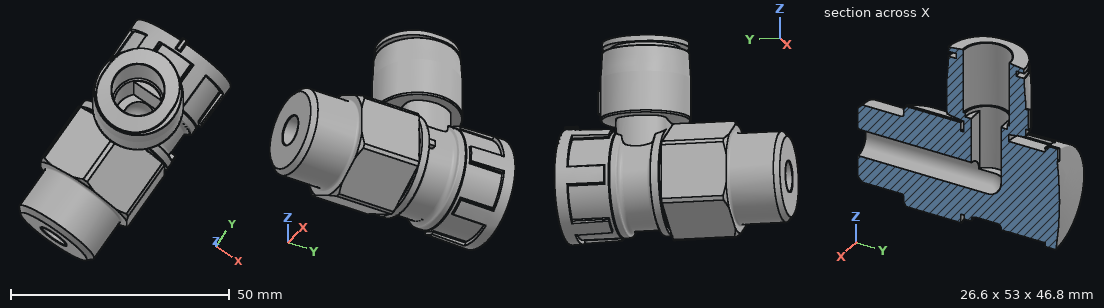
import cadquery as cq
import math


THREAD_END_Y = -33.75
HEX_FRONT_Y = -21.75
HEX_BACK_Y = -6.6
FLANGE_OUTER_Y = 5.9
FLANGE_INNER_Y = 3.9
WAIST_HALF_LENGTH = 2.8
CAP_FRONT_Y = 15.4
CAP_RIM_Y = 18.4
OVERALL_LENGTH = 53.05
CAP_TOP_Y = THREAD_END_Y + OVERALL_LENGTH

THREAD_RADIUS = 20.95 / 2
THREAD_CHAMFER = 1.2
THREAD_ROOT_FILLET = 0.55
NECK_RADIUS = 11.25
FLANGE_RADIUS = 12.3
FLANGE_ROUND = 0.35
FLANGE_CHAMFER_LENGTH = 0.3
FLANGE_CHAMFER_DEPTH = 0.15
WAIST_RADIUS = 10.9
KNOB_RADIUS = 24.5 / 2
CAP_RADIUS = 26.6 / 2
CAP_EDGE_ROUND = 0.5

HEX_FLATS = 24.0
HEX_CORNER_RADIUS = 13.55
HEX_CHAMFER_RADIUS = 12.45
HEX_CHAMFER_LENGTH = 0.7

PAD_COUNT = 6
PAD_WIDTH = 4.05
PAD_FRONT_Y = 6.75
PAD_FRONT_RADIUS = 13.0
PAD_FOOT = 0.25

POINTER_WIDTH = 1.5
CAP_POINTER_FRONT_Y = 16.05
CAP_POINTER_BACK_Y = 18.9
CAP_POINTER_BOTTOM_Z = 10.6
CAP_POINTER_TOP_Z = 14.05
CAP_POINTER_CHAMFER = 0.3
SLEEVE_POINTER_BOTTOM_Z = 16.7
SLEEVE_POINTER_TOP_Z = 22.25
SLEEVE_POINTER_HEIGHT = 0.7

STOP_INNER_X = 9.8
STOP_OUTER_X = 12.2
STOP_FRONT_Y = -4.25
STOP_BACK_Y = -2.45

STEM_RADIUS = 8.2
STEM_THICKNESS = 11.85
STEM_CORNER_FILLET = 3.2

SLEEVE_CONE_Z = 13.9
SLEEVE_EDGE_Z = 14.6
SLEEVE_BOTTOM_Z = 15.0
SLEEVE_TAPER_Z = 24.2
SLEEVE_TOP_Z = 30.35
SLEEVE_RADIUS = 20.8 / 2
SLEEVE_EDGE_RADIUS = 10.2
SLEEVE_TOP_RADIUS = 10.05
SLEEVE_TOP_CHAMFER = 0.1
SLEEVE_CONE_RADIUS = 5.85
COLLAR_NECK_RADIUS = 15.8 / 2
COLLAR_BOTTOM_Z = 31.5
COLLAR_EDGE_Z = 32.8
OVERALL_HEIGHT = 46.8
COLLAR_TOP_Z = OVERALL_HEIGHT - HEX_CORNER_RADIUS
COLLAR_HALF_WIDTH = 8.9
COLLAR_HALF_LENGTH = 10.0
COLLAR_TOP_RADIUS = 6.25

TUBE_BORE_RADIUS = 12.0 / 2
TUBE_BORE_CHAMFER = 0.15
TUBE_STOP_Z = 16.45
STOP_BORE_RADIUS = 11.0 / 2
STOP_BORE_FLOOR_Z = 15.4
SLOT_THICKNESS = 7.8
MAIN_BORE_RADIUS = 7.0 / 2
MAIN_BORE_CHAMFER = 0.15
MAIN_BORE_ROUND_Y = 0.25


def ring_of_y(points):
    """Solid of revolution about Y from (radius, y) points."""
    return cq.Workplane("XY").polyline(points).close().revolve(360, (0, 0, 0), (0, 1, 0))


def ring_of_z(points):
    """Solid of revolution about Z from (radius, z) points."""
    return cq.Workplane("XZ").polyline(points).close().revolve(360, (0, 0, 0), (0, 1, 0))


def box_between(low, high):
    """Box from its two opposite corners."""
    size = [b - a for a, b in zip(low, high)]
    return cq.Workplane("XY").box(*size, centered=False).translate(low)


def make_thread_spigot():
    chamfer_radius = THREAD_RADIUS - THREAD_CHAMFER
    flare_radius = THREAD_RADIUS + THREAD_ROOT_FILLET
    flare_y = HEX_FRONT_Y - THREAD_ROOT_FILLET
    mid_offset = THREAD_ROOT_FILLET * (1 - math.sqrt(0.5))
    return (
        cq.Workplane("XY")
        .moveTo(0, THREAD_END_Y)
        .lineTo(chamfer_radius, THREAD_END_Y)
        .lineTo(THREAD_RADIUS, THREAD_END_Y + THREAD_CHAMFER)
        .lineTo(THREAD_RADIUS, flare_y)
        .threePointArc(
            (THREAD_RADIUS + mid_offset, HEX_FRONT_Y - mid_offset),
            (flare_radius, HEX_FRONT_Y),
        )
        .lineTo(flare_radius, HEX_BACK_Y)
        .lineTo(0, HEX_BACK_Y)
        .close()
        .revolve(360, (0, 0, 0), (0, 1, 0))
    )


def make_hexagon():
    length = HEX_BACK_Y - HEX_FRONT_Y
    corner_flats = 2 * HEX_CORNER_RADIUS
    to_corner = 1 / math.cos(math.pi / 6)
    start = cq.Workplane("XZ", origin=(0, HEX_BACK_Y, 0))
    turned = start.transformed(rotate=(0, 0, 30))
    wrench_faces = turned.polygon(6, HEX_FLATS * to_corner).extrude(length)
    corner_faces = start.polygon(6, corner_flats * to_corner).extrude(length)
    slope = (HEX_CORNER_RADIUS - HEX_CHAMFER_RADIUS) / HEX_CHAMFER_LENGTH
    overshoot = 1.6
    outer_radius = HEX_CORNER_RADIUS + overshoot
    chamfer_cone = ring_of_y([
        (0, HEX_FRONT_Y),
        (HEX_CHAMFER_RADIUS, HEX_FRONT_Y),
        (outer_radius, HEX_FRONT_Y + (outer_radius - HEX_CHAMFER_RADIUS) / slope),
        (outer_radius, HEX_BACK_Y),
        (0, HEX_BACK_Y),
    ])
    return wrench_faces.intersect(corner_faces).intersect(chamfer_cone)


def make_swivel_body():
    """Neck behind the hexagon and the waist between the two swivel flanges."""
    neck = ring_of_y([
        (0, HEX_BACK_Y),
        (NECK_RADIUS, HEX_BACK_Y),
        (NECK_RADIUS, -FLANGE_OUTER_Y),
        (0, -FLANGE_OUTER_Y),
    ])
    blend_radius = FLANGE_INNER_Y - WAIST_HALF_LENGTH
    blend_offset = blend_radius * (1 - math.sqrt(0.5))
    round_offset = FLANGE_ROUND * (1 - math.sqrt(0.5))
    half = (
        cq.Workplane("XY")
        .moveTo(0, 0)
        .lineTo(WAIST_RADIUS, 0)
        .lineTo(WAIST_RADIUS, WAIST_HALF_LENGTH)
        .threePointArc(
            (WAIST_RADIUS + blend_offset, FLANGE_INNER_Y - blend_offset),
            (WAIST_RADIUS + blend_radius, FLANGE_INNER_Y),
        )
        .threePointArc(
            (FLANGE_RADIUS - round_offset, FLANGE_INNER_Y + round_offset),
            (FLANGE_RADIUS, FLANGE_INNER_Y + FLANGE_ROUND),
        )
        .lineTo(FLANGE_RADIUS, FLANGE_OUTER_Y)
        .lineTo(0, FLANGE_OUTER_Y)
        .close()
        .revolve(360, (0, 0, 0), (0, 1, 0))
    )
    chamfer_start_y = FLANGE_OUTER_Y - FLANGE_CHAMFER_LENGTH
    chamfered_envelope = ring_of_y([
        (0, 0),
        (FLANGE_RADIUS, 0),
        (FLANGE_RADIUS, chamfer_start_y),
        (FLANGE_RADIUS - FLANGE_CHAMFER_DEPTH, FLANGE_OUTER_Y),
        (0, FLANGE_OUTER_Y),
    ])
    knob_side = half.intersect(chamfered_envelope)
    waist = knob_side.union(half.mirror("XZ"))
    return waist.union(neck)


def make_knob():
    """Round knob, its grip pads and its domed cap; pads and cap lie inside one shallow cone."""
    knob = ring_of_y([
        (0, FLANGE_OUTER_Y),
        (KNOB_RADIUS, FLANGE_OUTER_Y),
        (KNOB_RADIUS, CAP_FRONT_Y),
        (0, CAP_FRONT_Y),
    ])
    cap_length = CAP_TOP_Y - CAP_FRONT_Y
    cap_blank = cq.Workplane("XZ", origin=(0, CAP_TOP_Y, 0)).circle(CAP_RADIUS).extrude(cap_length)
    rim_start_y = CAP_RIM_Y - CAP_EDGE_ROUND
    dome_edge_radius = CAP_RADIUS - CAP_EDGE_ROUND
    round_offset = CAP_EDGE_ROUND * (1 - math.sqrt(0.5))
    dome_rise = CAP_TOP_Y - CAP_RIM_Y
    dome_radius = (dome_edge_radius**2 + dome_rise**2) / (2 * dome_rise)
    dome_mid_angle = math.asin(dome_edge_radius / dome_radius) / 2
    dome_mid_drop = dome_radius * (1 - math.cos(dome_mid_angle))
    envelope = (
        cq.Workplane("XY")
        .moveTo(0, PAD_FRONT_Y)
        .lineTo(PAD_FRONT_RADIUS, PAD_FRONT_Y)
        .lineTo(CAP_RADIUS, rim_start_y)
        .threePointArc(
            (CAP_RADIUS - round_offset, CAP_RIM_Y - round_offset),
            (dome_edge_radius, CAP_RIM_Y),
        )
        .threePointArc(
            (dome_radius * math.sin(dome_mid_angle), CAP_TOP_Y - dome_mid_drop),
            (0, CAP_TOP_Y),
        )
        .close()
        .revolve(360, (0, 0, 0), (0, 1, 0))
    )
    return cap_blank.union(make_pad_bars()).intersect(envelope).union(knob)


def make_pad_bars():
    """Radial bars, flared at the knob surface, that become the grip pads once trimmed to the cone."""
    half_width = PAD_WIDTH / 2
    foot_half_width = half_width + PAD_FOOT
    foot_radius = math.sqrt(KNOB_RADIUS**2 - foot_half_width**2)
    bar = (
        cq.Workplane("XZ", origin=(0, CAP_FRONT_Y, 0))
        .polyline([
            (0, -foot_half_width),
            (foot_radius, -foot_half_width),
            (foot_radius + PAD_FOOT, -half_width),
            (CAP_RADIUS, -half_width),
            (CAP_RADIUS, half_width),
            (foot_radius + PAD_FOOT, half_width),
            (foot_radius, foot_half_width),
            (0, foot_half_width),
        ])
        .close()
        .extrude(CAP_FRONT_Y - PAD_FRONT_Y)
    )
    bars = bar
    for index in range(1, PAD_COUNT):
        bars = bars.union(bar.rotate((0, 0, 0), (0, 1, 0), index * 360 / PAD_COUNT))
    return bars


def make_cap_pointer():
    half_width = POINTER_WIDTH / 2
    pointer = box_between(
        (-half_width, CAP_POINTER_FRONT_Y, CAP_POINTER_BOTTOM_Z),
        (half_width, CAP_POINTER_BACK_Y, CAP_POINTER_TOP_Z),
    )
    return pointer.edges("|Y and >Z").chamfer(CAP_POINTER_CHAMFER)


def make_sleeve_pointer():
    """Bar on the back of the sleeve with a round upper end."""
    half_width = POINTER_WIDTH / 2
    shoulder_z = SLEEVE_POINTER_TOP_Z - half_width
    back_y = SLEEVE_RADIUS + SLEEVE_POINTER_HEIGHT
    return (
        cq.Workplane("XZ", origin=(0, back_y, 0))
        .moveTo(-half_width, SLEEVE_POINTER_BOTTOM_Z)
        .lineTo(half_width, SLEEVE_POINTER_BOTTOM_Z)
        .lineTo(half_width, shoulder_z)
        .threePointArc((0, SLEEVE_POINTER_TOP_Z), (-half_width, shoulder_z))
        .close()
        .extrude(back_y - TUBE_BORE_RADIUS)
    )


def make_stop_block():
    half_width = POINTER_WIDTH / 2
    return box_between(
        (STOP_INNER_X, STOP_FRONT_Y, -half_width),
        (STOP_OUTER_X, STOP_BACK_Y, half_width),
    )


def make_stem():
    """Round stem with two flats facing along Y and rounded corners."""
    slab = cq.Workplane("XY").rect(3 * STEM_RADIUS, STEM_THICKNESS).extrude(SLEEVE_BOTTOM_Z)
    stem = cq.Workplane("XY").circle(STEM_RADIUS).extrude(SLEEVE_BOTTOM_Z).intersect(slab)
    return stem.edges("|Z").fillet(STEM_CORNER_FILLET)


def make_sleeve():
    return ring_of_z([
        (0, SLEEVE_CONE_Z),
        (SLEEVE_CONE_RADIUS, SLEEVE_CONE_Z),
        (SLEEVE_EDGE_RADIUS, SLEEVE_EDGE_Z),
        (SLEEVE_RADIUS, SLEEVE_BOTTOM_Z),
        (SLEEVE_RADIUS, SLEEVE_TAPER_Z),
        (SLEEVE_TOP_RADIUS, SLEEVE_TOP_Z - SLEEVE_TOP_CHAMFER),
        (SLEEVE_TOP_RADIUS - SLEEVE_TOP_CHAMFER, SLEEVE_TOP_Z),
        (COLLAR_NECK_RADIUS, SLEEVE_TOP_Z),
        (COLLAR_NECK_RADIUS, COLLAR_BOTTOM_Z),
        (0, COLLAR_BOTTOM_Z),
    ])


def make_release_collar():
    """Obround collar, longer along Y, with a conical top face."""
    obround = (
        cq.Workplane("XY", origin=(0, 0, COLLAR_BOTTOM_Z))
        .slot2D(2 * COLLAR_HALF_LENGTH, 2 * COLLAR_HALF_WIDTH, 90)
        .extrude(COLLAR_TOP_Z - COLLAR_BOTTOM_Z)
    )
    cone = ring_of_z([
        (0, COLLAR_BOTTOM_Z),
        (COLLAR_HALF_LENGTH, COLLAR_BOTTOM_Z),
        (COLLAR_HALF_LENGTH, COLLAR_EDGE_Z),
        (COLLAR_TOP_RADIUS, COLLAR_TOP_Z),
        (0, COLLAR_TOP_Z),
    ])
    return obround.intersect(cone)


def make_branch_bore():
    """Tube bore stepped at the tube stop, then narrowed by two flats down to the main axis."""
    mouth_radius = TUBE_BORE_RADIUS + TUBE_BORE_CHAMFER
    bore = ring_of_z([
        (0, STOP_BORE_FLOOR_Z),
        (STOP_BORE_RADIUS, STOP_BORE_FLOOR_Z),
        (STOP_BORE_RADIUS, TUBE_STOP_Z),
        (TUBE_BORE_RADIUS, TUBE_STOP_Z),
        (TUBE_BORE_RADIUS, COLLAR_TOP_Z - TUBE_BORE_CHAMFER),
        (mouth_radius, COLLAR_TOP_Z),
        (0, COLLAR_TOP_Z),
    ])
    slab = cq.Workplane("XY").rect(3 * STOP_BORE_RADIUS, SLOT_THICKNESS).extrude(TUBE_STOP_Z)
    narrowed = cq.Workplane("XY").circle(STOP_BORE_RADIUS).extrude(TUBE_STOP_Z).intersect(slab)
    return bore.union(narrowed)


def make_main_bore():
    """Bore from the thread end with a hemispherical blind end."""
    mouth_radius = MAIN_BORE_RADIUS + MAIN_BORE_CHAMFER
    straight = ring_of_y([
        (0, THREAD_END_Y),
        (mouth_radius, THREAD_END_Y),
        (MAIN_BORE_RADIUS, THREAD_END_Y + MAIN_BORE_CHAMFER),
        (MAIN_BORE_RADIUS, MAIN_BORE_ROUND_Y),
        (0, MAIN_BORE_ROUND_Y),
    ])
    round_end = cq.Workplane("XY").sphere(MAIN_BORE_RADIUS).translate((0, MAIN_BORE_ROUND_Y, 0))
    return straight.union(round_end)


main_body = (
    make_thread_spigot()
    .union(make_hexagon())
    .union(make_swivel_body())
    .union(make_knob())
    .union(make_cap_pointer())
    .union(make_stop_block())
)
branch = make_stem().union(make_sleeve()).union(make_release_collar()).union(make_sleeve_pointer())

result = main_body.union(branch).cut(make_branch_bore()).cut(make_main_bore())